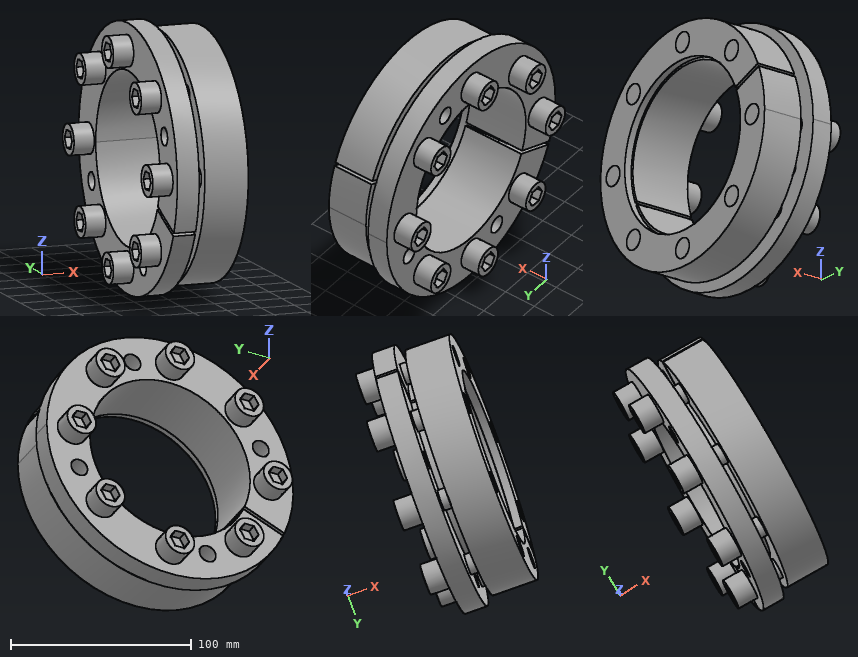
import cadquery as cq
import math


screw_count = 8
screw_circle_radius = 61.3
head_diameter = 18.0
head_height = 12.0
shank_diameter = 12.0
socket_width = 10.0
socket_depth = 6.0

bore_radius = 50.0
flange_radius = 77.0
flange_thickness = 13.0
sleeve_end_x = 51.0

outer_ring_radius = 72.5
outer_ring_width = 26.0
ring_gap = 5.0
taper_angle = 5.0
taper_small_radius = 51.0

jack_hole_count = 4
jack_hole_diameter = 10.2
jack_hole_start_angle = 67.5

slit_width = 2.0
slit_overrun = 1.0
inner_slit_angle = 202.5
outer_slit_angle = inner_slit_angle - 180.0

flange_front_x = head_height
flange_back_x = flange_front_x + flange_thickness
outer_ring_front_x = flange_back_x + ring_gap
outer_ring_back_x = outer_ring_front_x + outer_ring_width


def taper_radius(x):
    """Radius of the shared taper at station x; it narrows toward +X."""
    return taper_small_radius + (outer_ring_back_x - x) * math.tan(math.radians(taper_angle))


def circle_points(count, start_angle):
    """Evenly spaced (y, z) points on the screw circle."""
    angles = [math.radians(start_angle + i * 360.0 / count) for i in range(count)]
    return [(screw_circle_radius * math.cos(a), screw_circle_radius * math.sin(a)) for a in angles]


def cylinders(points, diameter, start_x, end_x):
    """Cylinders along X, one at each (y, z) point."""
    plane = cq.Workplane("YZ", origin=(start_x, 0, 0))
    return plane.pushPoints(points).circle(diameter / 2).extrude(end_x - start_x)


def revolve_about_x(profile):
    """Ring turned about the X axis from a list of (x, radius) points."""
    return cq.Workplane("XY").polyline(profile).close().revolve(360, (0, 0, 0), (1, 0, 0))


def slit(angle):
    """Radial cutter running from the axis out past the rings at the given angle."""
    length = flange_radius + slit_overrun
    cutter = cq.Workplane("XY").box(outer_ring_back_x, length, slit_width, centered=(False, False, True))
    return cutter.rotate((0, 0, 0), (1, 0, 0), angle)


screw_points = circle_points(screw_count, 0)
jack_points = circle_points(jack_hole_count, jack_hole_start_angle)
shank_holes = cylinders(screw_points, shank_diameter, flange_front_x, outer_ring_back_x)


def make_inner_ring():
    ring = revolve_about_x([
        (flange_front_x, bore_radius),
        (flange_front_x, flange_radius),
        (flange_back_x, flange_radius),
        (flange_back_x, taper_radius(flange_back_x)),
        (sleeve_end_x, taper_radius(sleeve_end_x)),
        (sleeve_end_x, bore_radius),
    ])
    ring = ring.cut(shank_holes)
    ring = ring.cut(cylinders(jack_points, jack_hole_diameter, flange_front_x, flange_back_x))
    return ring.cut(slit(inner_slit_angle))


def make_outer_ring():
    ring = revolve_about_x([
        (outer_ring_front_x, taper_radius(outer_ring_front_x)),
        (outer_ring_front_x, outer_ring_radius),
        (outer_ring_back_x, outer_ring_radius),
        (outer_ring_back_x, taper_radius(outer_ring_back_x)),
    ])
    return ring.cut(shank_holes).cut(slit(outer_slit_angle))


def make_screw(point):
    """Hex socket screw with two socket corners pointing along Y."""
    head = cylinders([point], head_diameter, 0, head_height)
    shank = cylinders([point], shank_diameter, head_height, outer_ring_back_x)
    socket_corner_diameter = socket_width / math.cos(math.radians(30))
    socket = cq.Workplane("YZ").center(*point).polygon(6, socket_corner_diameter).extrude(socket_depth)
    return head.union(shank).cut(socket)


inner_ring = make_inner_ring()
outer_ring = make_outer_ring()
screws = [make_screw(point) for point in screw_points]

result = cq.Compound.makeCompound([
    inner_ring.val(),
    outer_ring.val(),
    *[screw.val() for screw in screws],
])